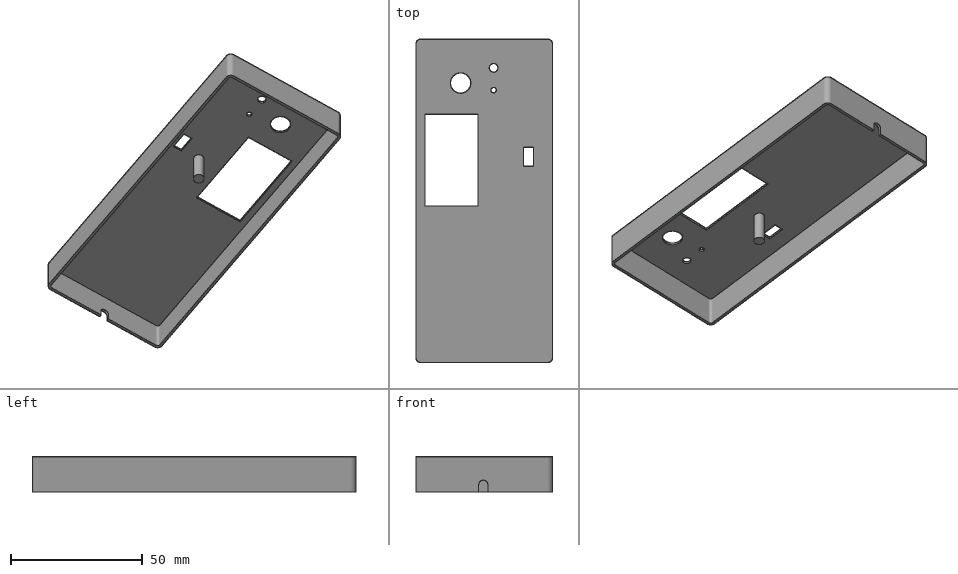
import cadquery as cq

WIDTH = 52.0
LENGTH = 123.0
HEIGHT = 13.5
TOP_THICKNESS = 1.0
WALL_THICKNESS = 1.0
CORNER_RADIUS = 2.0

WINDOW_SIZE = (20.0, 34.8)
WINDOW_CENTER = (-12.4, 15.5)
SLOT_SIZE = (3.7, 7.1)
SLOT_CENTER = (16.9, 16.7)

SMALL_HOLES_X = 3.6
ROUND_HOLES = [
    (7.6, (-9.0, 44.8)),
    (3.2, (SMALL_HOLES_X, 50.5)),
    (2.0, (SMALL_HOLES_X, 42.1)),
]

NOTCH_WIDTH = 3.5
NOTCH_HEIGHT = 4.5
NOTCH_X = -0.4

POST_DIAMETER = 4.0
POST_CENTER = (7.4, 13.8)


def make_shell():
    """Box with rounded vertical corners, hollowed from below."""
    outer = cq.Workplane("XY").box(WIDTH, LENGTH, HEIGHT, centered=(True, True, False))
    outer = outer.edges("|Z").fillet(CORNER_RADIUS)
    cavity = cq.Workplane("XY").box(
        WIDTH - 2 * WALL_THICKNESS,
        LENGTH - 2 * WALL_THICKNESS,
        HEIGHT - TOP_THICKNESS,
        centered=(True, True, False),
    )
    cavity = cavity.edges("|Z").fillet(CORNER_RADIUS - WALL_THICKNESS)
    return outer.cut(cavity)


def make_post():
    """Round post joined to the underside of the top."""
    return cq.Workplane("XY").center(*POST_CENTER).circle(POST_DIAMETER / 2).extrude(HEIGHT - TOP_THICKNESS)


def make_top_openings():
    """Cutters for every opening through the top plate."""
    plane = cq.Workplane("XY").workplane(offset=HEIGHT - TOP_THICKNESS)
    cutters = plane.center(*WINDOW_CENTER).rect(*WINDOW_SIZE).extrude(TOP_THICKNESS)
    cutters = cutters.union(plane.center(*SLOT_CENTER).rect(*SLOT_SIZE).extrude(TOP_THICKNESS))
    for diameter, center in ROUND_HOLES:
        cutters = cutters.union(plane.center(*center).circle(diameter / 2).extrude(TOP_THICKNESS))
    return cutters


def make_notch():
    """Round-topped cutter through the -Y wall, open at the bottom."""
    radius = NOTCH_WIDTH / 2
    return (
        cq.Workplane("XZ", origin=(NOTCH_X, -LENGTH / 2 + WALL_THICKNESS, 0))
        .moveTo(-radius, 0)
        .lineTo(-radius, NOTCH_HEIGHT - radius)
        .threePointArc((0, NOTCH_HEIGHT), (radius, NOTCH_HEIGHT - radius))
        .lineTo(radius, 0)
        .close()
        .extrude(WALL_THICKNESS)
    )


result = make_shell().union(make_post()).cut(make_top_openings()).cut(make_notch())